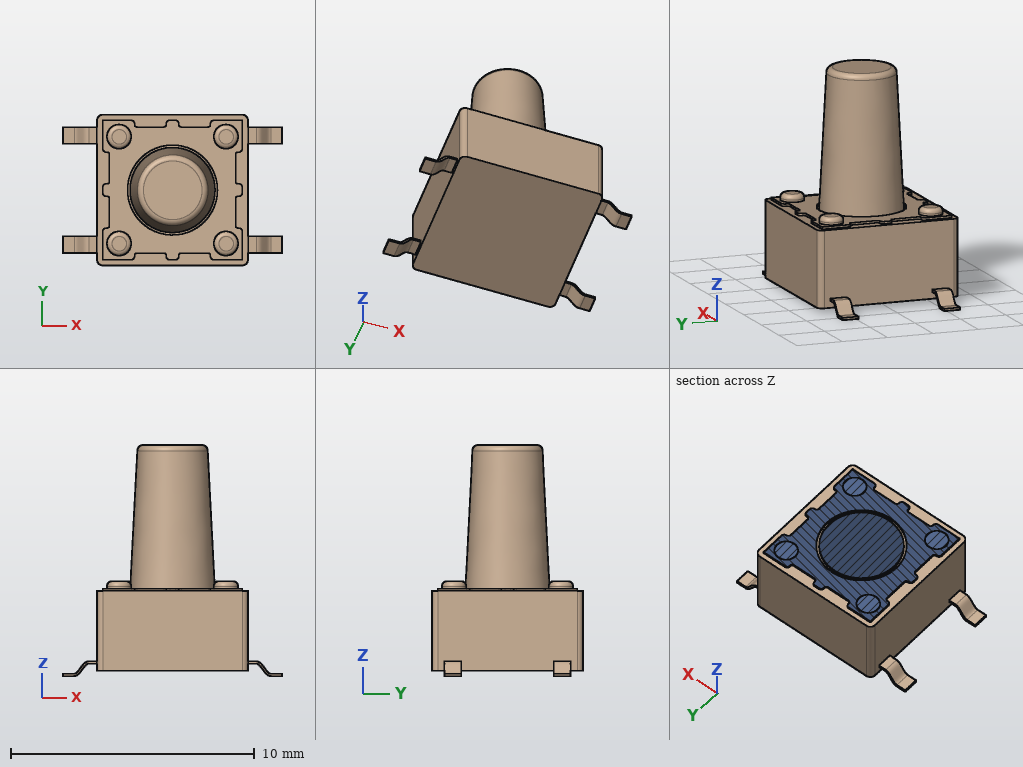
import cadquery as cq

TOTAL_HEIGHT = 9.5
TOTAL_LENGTH = 9.0

HOUSING_SIDE = 6.2
HOUSING_BOTTOM = 0.22
HOUSING_TOP = 3.51
HOUSING_CORNER_RADIUS = 0.25

PEG_DIAMETER = 1.0
PEG_CENTRE = 2.19
PEG_RISE = 0.3
PEG_ROUNDING = 0.2

COVER_SIDE = 5.73
COVER_THICKNESS = 0.095
COVER_HOLE_DIAMETER = 3.7
NOTCH_DEPTH = 0.28
NOTCH_START = 0.26
NOTCH_END = 1.56
NOTCH_FLOOR_RADIUS = 0.095
NOTCH_MOUTH_RADIUS = 0.14

BUTTON_BOTTOM_DIAMETER = 3.5
BUTTON_TOP_DIAMETER = 2.88
BUTTON_ROUNDING = 0.25

LEAD_WIDTH = 0.69
LEAD_THICKNESS = 0.1
LEAD_CENTRE_Y = 2.24
LEAD_TOP = 0.62
FOOT_LENGTH = 0.46
SHELF_LENGTH = 0.34
CURVE_HANDLE = 0.23


def make_peg(x, y):
    """A round peg that stands on the housing and passes through the cover."""
    return (
        cq.Workplane("XY", origin=(x, y, HOUSING_TOP))
        .circle(PEG_DIAMETER / 2)
        .extrude(COVER_THICKNESS + PEG_RISE)
        .faces(">Z")
        .edges()
        .fillet(PEG_ROUNDING)
    )


def make_housing(peg_places):
    housing = (
        cq.Workplane("XY", origin=(0, 0, HOUSING_BOTTOM))
        .rect(HOUSING_SIDE, HOUSING_SIDE)
        .extrude(HOUSING_TOP - HOUSING_BOTTOM)
        .edges("|Z")
        .fillet(HOUSING_CORNER_RADIUS)
    )
    for x, y in peg_places:
        housing = housing.union(make_peg(x, y))
    return housing


def make_notch(side):
    """A notch in the +X edge of the cover; side is +1 or -1 for its half along Y."""
    return (
        cq.Workplane("XY", origin=(COVER_SIDE / 2, side * (NOTCH_START + NOTCH_END) / 2, HOUSING_TOP))
        .rect(2 * NOTCH_DEPTH, NOTCH_END - NOTCH_START)
        .extrude(COVER_THICKNESS)
        .edges("|Z and <X")
        .fillet(NOTCH_FLOOR_RADIUS)
    )


def is_notch_mouth(edge):
    """True for the upright edges on the rim of the cover, except its four corners."""
    centre = edge.Center()
    near, far = sorted((abs(centre.x), abs(centre.y)))
    on_rim = far > (COVER_SIDE - NOTCH_DEPTH) / 2
    return on_rim and near < (NOTCH_END + COVER_SIDE / 2) / 2


def make_cover(peg_places):
    cover = (
        cq.Workplane("XY", origin=(0, 0, HOUSING_TOP))
        .rect(COVER_SIDE, COVER_SIDE)
        .extrude(COVER_THICKNESS)
    )
    for turn in (0, 90, 180, 270):
        for side in (1, -1):
            cover = cover.cut(make_notch(side).rotate((0, 0, 0), (0, 0, 1), turn))
    cover = cover.edges("|Z").filter(is_notch_mouth).fillet(NOTCH_MOUTH_RADIUS)

    holes = (
        cq.Workplane("XY", origin=(0, 0, HOUSING_TOP))
        .circle(COVER_HOLE_DIAMETER / 2)
        .pushPoints(peg_places)
        .circle(PEG_DIAMETER / 2)
        .extrude(COVER_THICKNESS)
    )
    return cover.cut(holes)


def make_button():
    return (
        cq.Workplane("XY", origin=(0, 0, HOUSING_TOP))
        .circle(BUTTON_BOTTOM_DIAMETER / 2)
        .workplane(offset=TOTAL_HEIGHT - HOUSING_TOP)
        .circle(BUTTON_TOP_DIAMETER / 2)
        .loft(ruled=True)
        .faces(">Z")
        .edges()
        .fillet(BUTTON_ROUNDING)
    )


def make_lead(x_side, y_side):
    """One lead, swept along its middle line from foot tip to housing wall."""
    foot_z = LEAD_THICKNESS / 2
    shelf_z = LEAD_TOP - LEAD_THICKNESS / 2
    tip_x = -TOTAL_LENGTH / 2
    wall_x = -HOUSING_SIDE / 2
    foot_end = (tip_x + FOOT_LENGTH, foot_z)
    shelf_start = (wall_x - SHELF_LENGTH, shelf_z)
    foot_handle = (foot_end[0] + CURVE_HANDLE, foot_z)
    shelf_handle = (shelf_start[0] - CURVE_HANDLE, shelf_z)

    path = (
        cq.Workplane("XZ", origin=(0, y_side * LEAD_CENTRE_Y, 0))
        .moveTo(tip_x, foot_z)
        .lineTo(*foot_end)
        .bezier([foot_end, foot_handle, shelf_handle, shelf_start])
        .lineTo(wall_x, shelf_z)
    )
    lead = (
        cq.Workplane("YZ", origin=(tip_x, y_side * LEAD_CENTRE_Y, foot_z))
        .rect(LEAD_WIDTH, LEAD_THICKNESS)
        .sweep(path)
    )
    return lead if x_side < 0 else lead.mirror("YZ")


corners = [(x_side, y_side) for x_side in (-1, 1) for y_side in (-1, 1)]
peg_places = [(x_side * PEG_CENTRE, y_side * PEG_CENTRE) for x_side, y_side in corners]

housing = make_housing(peg_places)
cover = make_cover(peg_places)
button = make_button()
leads = [make_lead(x_side, y_side) for x_side, y_side in corners]

result = cq.Compound.makeCompound(
    [housing.val(), cover.val(), button.val(), *[lead.val() for lead in leads]]
)